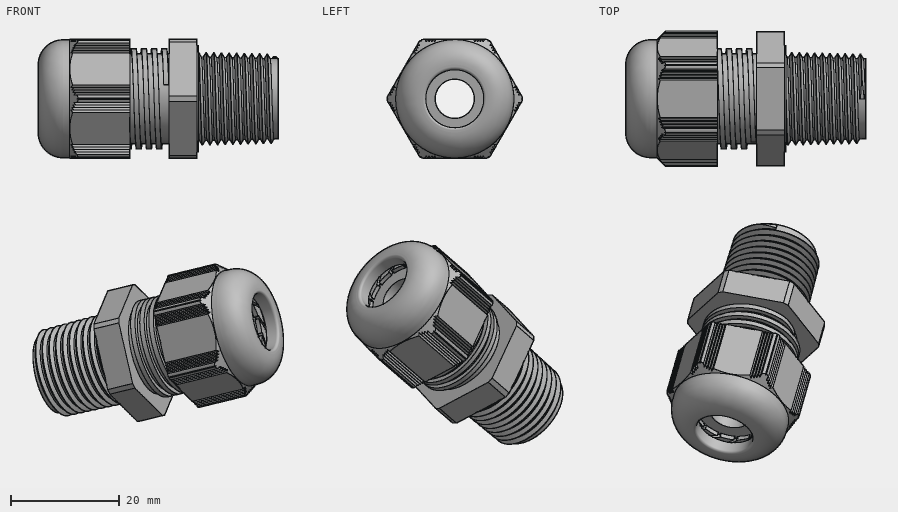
import cadquery as cq
import math


ACROSS_FLATS = 22.0
FLAT_RADIUS = ACROSS_FLATS / 2
SHARP_CORNER_DIAMETER = ACROSS_FLATS / math.cos(math.pi / 6)

CAP_LENGTH = 16.95
DOME_DIAMETER = 21.87
DOME_ARC_RADIUS = 4.66
CAP_HEX_START = 5.8
CAP_CORNER_FILLET = 1.0
CAP_CORNER_RADIUS = SHARP_CORNER_DIAMETER / 2 - CAP_CORNER_FILLET * (1 / math.cos(math.pi / 6) - 1)
MOUTH_DIAMETER = 10.72
MOUTH_FILLET = 0.5
MOUTH_DEPTH = 2.5
CAP_THREAD_BORE_DIAMETER = 19.1
GRIP_GROOVES_PER_SIDE = 4
GRIP_GROOVE_PITCH = 0.52
GRIP_GROOVE_START = 3.45
CORNER_GROOVE_WIDTH = 0.2
V_GROOVE_SLOPE = math.tan(math.pi / 3)

CLAW_FRONT = 3.8
CLAW_LIP_THICKNESS = 0.85
CLAW_LIP_DIAMETER = 12.2
CLAW_DIAMETER = 16.3
CLAW_LENGTH = 7.2
CLAW_COUNT = 12
CLAW_SLOT_WIDTH = 0.5
CLAW_SLOT_SKEW = 60.0
FIRST_SLOT_ANGLE = -14.0

TOTAL_LENGTH = 44.42
NECK_DIAMETER = 16.7
NUT_START = 24.2
NUT_END = 29.36
NUT_CORNER_RADIUS = 12.4
COLLAR_DIAMETER = 19.7
COLLAR_END = 29.62
BODY_BORE_DIAMETER = 10.6
SEAL_BORE_DIAMETER = 13.6

NECK_PITCH = 1.88
NECK_CREST_RADIUS = 9.29
NECK_RIDGE_WIDTH = 0.92
NECK_THREAD_END = 23.69
NECK_THREAD_END_ANGLE = 162.0
NECK_TURNS = 4.0
NECK_FADE_TURNS = 0.09
NECK_END_CREST_RADIUS = 8.4

MM_PER_INCH = 25.4
TAIL_THREADS_PER_INCH = 18
TAIL_PITCH = MM_PER_INCH / TAIL_THREADS_PER_INCH
TAIL_THREAD_END = 43.76
TAIL_THREAD_END_ANGLE = 90.0
TAIL_TURNS = 10.5
TAIL_FADE_TURNS = 0.07
TAIL_END_CREST_RADIUS = 7.67
TAIL_ROOT_END_RADIUS = 7.42
TAIL_RIDGE_HEIGHT = 0.83
TAIL_RIDGE_WIDTH = 1.07
TAIL_CREST_WIDTH = 0.08
TAIL_END_CREST_WIDTH = 0.7
TAIL_TAPER = 0.022

SEAL_DIAMETER = 13.44
SEAL_HOLE_DIAMETER = 7.2
SEAL_LENGTH = 9.0
SEAL_FRONT = CLAW_FRONT + CLAW_LIP_THICKNESS
SEAL_END = SEAL_FRONT + SEAL_LENGTH

RIDGE_SINK = 0.2
POINTS_PER_TURN = 36


def cylinder(diameter, start, end):
    return cq.Workplane("YZ", origin=(start, 0, 0)).circle(diameter / 2).extrude(end - start)


def hexagon(start, end):
    plane = cq.Workplane("YZ", origin=(start, 0, 0))
    return plane.polygon(6, SHARP_CORNER_DIAMETER).extrude(end - start)


def revolve_about_x(profile):
    return profile.close().revolve(360, (0, 0, 0), (1, 0, 0))


def v_groove(middle, surface_height, width):
    """60 degree V cut down into a surface that faces +Z."""
    return (
        cq.Workplane("YZ", origin=(CAP_HEX_START, 0, 0))
        .moveTo(middle - width / 2, surface_height)
        .lineTo(middle, surface_height - width / 2 * V_GROOVE_SLOPE)
        .lineTo(middle + width / 2, surface_height)
        .close()
        .extrude(CAP_LENGTH - CAP_HEX_START)
    )


def grip_grooves():
    """V-grooves along X: a row on each side of every hexagon corner and a fine one on the corner itself."""
    grooves = []
    for side in range(6):
        for direction in (-1, 1):
            for index in range(GRIP_GROOVES_PER_SIDE):
                middle = GRIP_GROOVE_START + (index + 0.5) * GRIP_GROOVE_PITCH
                groove = v_groove(direction * middle, FLAT_RADIUS, GRIP_GROOVE_PITCH)
                grooves.append(groove.rotate((0, 0, 0), (1, 0, 0), 60 * side).val())
        corner_groove = v_groove(0, CAP_CORNER_RADIUS, CORNER_GROOVE_WIDTH)
        grooves.append(corner_groove.rotate((0, 0, 0), (1, 0, 0), 30 + 60 * side).val())
    return cq.Workplane(cq.Compound.makeCompound(grooves))


def make_cap():
    dome_radius = DOME_DIAMETER / 2
    arc_mid = DOME_ARC_RADIUS * (1 - math.sqrt(0.5))
    mouth_radius = MOUTH_DIAMETER / 2
    fillet_mid = MOUTH_FILLET * (1 - math.sqrt(0.5))
    dome = revolve_about_x(
        cq.Workplane("XY")
        .moveTo(0, mouth_radius + MOUTH_FILLET)
        .lineTo(0, dome_radius - DOME_ARC_RADIUS)
        .threePointArc((arc_mid, dome_radius - arc_mid), (DOME_ARC_RADIUS, dome_radius))
        .lineTo(CAP_HEX_START, dome_radius)
        .lineTo(CAP_HEX_START, mouth_radius)
        .lineTo(MOUTH_FILLET, mouth_radius)
        .threePointArc((fillet_mid, mouth_radius + fillet_mid), (0, mouth_radius + MOUTH_FILLET))
    )
    grip = hexagon(CAP_HEX_START, CAP_LENGTH).edges("|X").fillet(CAP_CORNER_FILLET)
    grip = grip.cut(grip_grooves())
    length = CAP_LENGTH - CAP_HEX_START
    bevel = revolve_about_x(
        cq.Workplane("XY")
        .moveTo(CAP_HEX_START, 0)
        .lineTo(CAP_HEX_START, dome_radius)
        .lineTo(CAP_LENGTH, dome_radius + length)
        .lineTo(CAP_LENGTH, 0)
    )
    cap = dome.union(grip.intersect(bevel))
    cap = cap.cut(cylinder(MOUTH_DIAMETER, CAP_HEX_START, CAP_LENGTH))
    cap = cap.cut(cylinder(CLAW_DIAMETER, MOUTH_DEPTH, CAP_LENGTH))
    return cap.cut(cylinder(CAP_THREAD_BORE_DIAMETER, CLAW_FRONT + CLAW_LENGTH, CAP_LENGTH))


def helical_ridge(end_x, end_angle, pitch, turns, corners):
    """Right-handed ridge. Each corner gives its axial offset and radius from the turns left to the end."""
    count = math.ceil(turns * POINTS_PER_TURN)
    edges = []
    for offset_at, radius_at in corners:
        points = []
        for step in range(count + 1):
            remaining = turns * (1 - step / count)
            angle = math.radians(end_angle) - 2 * math.pi * remaining
            radius = radius_at(remaining)
            x = end_x + offset_at(remaining) - pitch * remaining
            points.append(cq.Vector(x, radius * math.cos(angle), radius * math.sin(angle)))
        edges.append(cq.Edge.makeSpline(points))
    faces = [cq.Face.makeRuledSurface(a, b) for a, b in zip(edges, edges[1:] + edges[:1])]
    for ends in ([e.startPoint() for e in edges], [e.endPoint() for e in edges]):
        faces.append(cq.Face.makeFromWires(cq.Wire.makePolygon(ends, close=True)))
    ridge = cq.Solid.makeSolid(cq.Shell.makeShell(faces))
    return cq.Workplane(ridge.fix())


def faded(full_size, end_size, remaining, fade_turns):
    """Size that holds until the last fade_turns of a ridge, then changes evenly to end_size."""
    fade = max(0, 1 - remaining / fade_turns)
    return full_size + fade * (end_size - full_size)


def neck_ridge():
    def front(remaining):
        return -NECK_RIDGE_WIDTH / 2

    def back(remaining):
        return NECK_RIDGE_WIDTH / 2

    def crest(remaining):
        return faded(NECK_CREST_RADIUS, NECK_END_CREST_RADIUS, remaining, NECK_FADE_TURNS)

    def root(remaining):
        return NECK_DIAMETER / 2 - RIDGE_SINK

    corners = [(front, root), (front, crest), (back, crest), (back, root)]
    return helical_ridge(NECK_THREAD_END, NECK_THREAD_END_ANGLE, NECK_PITCH, NECK_TURNS, corners)


def tail_root_radius(x):
    return TAIL_ROOT_END_RADIUS + TAIL_TAPER * (TOTAL_LENGTH - x)


def tail_ridge():
    def front(remaining):
        return -TAIL_RIDGE_WIDTH / 2

    def back(remaining):
        return TAIL_RIDGE_WIDTH / 2

    def crest_back(remaining):
        return faded(TAIL_CREST_WIDTH, TAIL_END_CREST_WIDTH, remaining, TAIL_FADE_TURNS) / 2

    def crest_front(remaining):
        return -crest_back(remaining)

    def surface(remaining):
        return tail_root_radius(TAIL_THREAD_END - TAIL_PITCH * remaining)

    def crest(remaining):
        full = surface(remaining) + TAIL_RIDGE_HEIGHT
        return faded(full, TAIL_END_CREST_RADIUS, remaining, TAIL_FADE_TURNS)

    def root(remaining):
        return surface(remaining) - RIDGE_SINK

    corners = [
        (front, root),
        (front, surface),
        (crest_front, crest),
        (crest_back, crest),
        (back, surface),
        (back, root),
    ]
    return helical_ridge(TAIL_THREAD_END, TAIL_THREAD_END_ANGLE, TAIL_PITCH, TAIL_TURNS, corners)


def make_nut():
    nut = hexagon(NUT_START, NUT_END)
    corner_cut = cq.Workplane("YZ", origin=(NUT_START, 0, 0)).polygon(
        6, 2 * NUT_CORNER_RADIUS / math.cos(math.pi / 6)
    )
    corner_cut = corner_cut.extrude(NUT_END - NUT_START).rotate((0, 0, 0), (1, 0, 0), 30)
    return nut.intersect(corner_cut)


def claw_slot(angle):
    """Radially skewed slot that starts at the inner edge of the claw lip."""
    reach = CLAW_DIAMETER / 2
    slot = cq.Workplane("XY").box(
        CLAW_LENGTH, reach, CLAW_SLOT_WIDTH, centered=(False, False, True)
    )
    slot = slot.rotate((0, 0, 0), (1, 0, 0), CLAW_SLOT_SKEW)
    slot = slot.translate((CLAW_FRONT, CLAW_LIP_DIAMETER / 2, 0))
    return slot.rotate((0, 0, 0), (1, 0, 0), angle)


def make_body():
    claw_end = CLAW_FRONT + CLAW_LENGTH
    body = cylinder(CLAW_DIAMETER, CLAW_FRONT, claw_end)
    for index in range(CLAW_COUNT):
        body = body.cut(claw_slot(FIRST_SLOT_ANGLE + index * 360 / CLAW_COUNT))
    neck = cylinder(NECK_DIAMETER, claw_end, NUT_START).union(neck_ridge())
    tail = revolve_about_x(
        cq.Workplane("XY")
        .moveTo(NUT_START, 0)
        .lineTo(NUT_START, tail_root_radius(NUT_START))
        .lineTo(TOTAL_LENGTH, tail_root_radius(TOTAL_LENGTH))
        .lineTo(TOTAL_LENGTH, 0)
    ).union(tail_ridge())
    body = body.union(neck).union(tail).union(make_nut())
    body = body.union(cylinder(COLLAR_DIAMETER, NUT_END, COLLAR_END))
    body = body.cut(cylinder(BODY_BORE_DIAMETER, SEAL_END, TOTAL_LENGTH))
    body = body.cut(cylinder(SEAL_BORE_DIAMETER, SEAL_FRONT, SEAL_END))
    return body.cut(cylinder(CLAW_LIP_DIAMETER, CLAW_FRONT, SEAL_FRONT))


def make_seal():
    seal = cylinder(SEAL_DIAMETER, SEAL_FRONT, SEAL_END)
    return seal.cut(cylinder(SEAL_HOLE_DIAMETER, SEAL_FRONT, SEAL_END))


cap = make_cap()
body = make_body()
seal = make_seal()

result = cq.Compound.makeCompound([cap.solids().val(), body.solids().val(), seal.solids().val()])